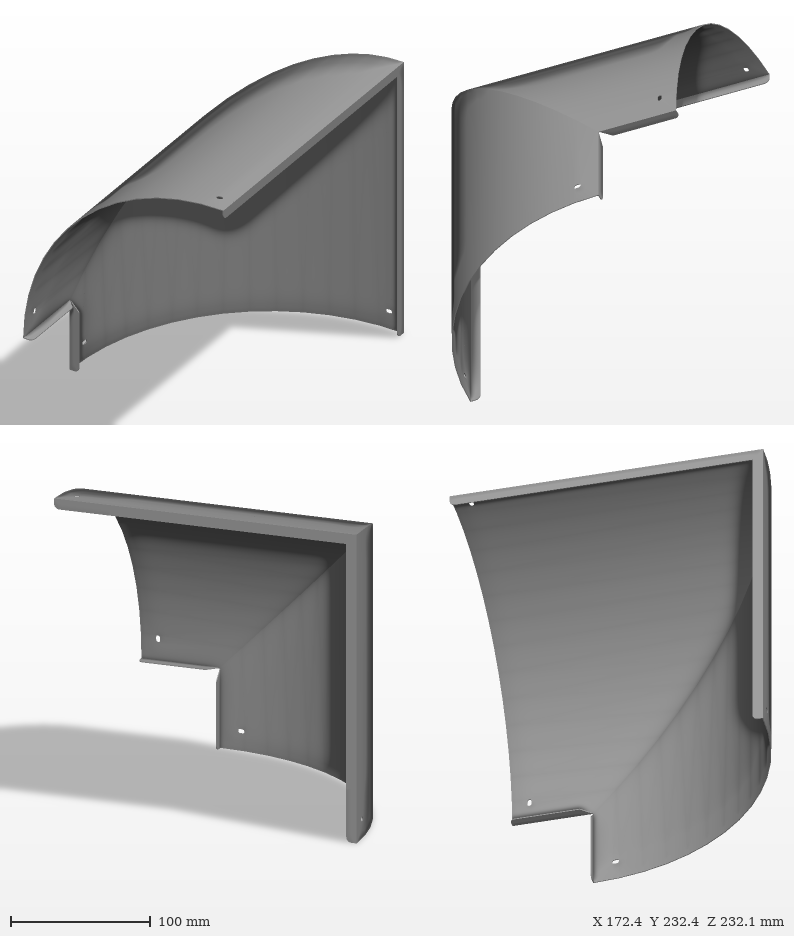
import cadquery as cq

RADIUS = 172.4
SHEET = 0.7
UPRIGHT_START_Y = 60.0
LEVEL_START_Z = 59.7
FLANGE = 8.0
FLANGE_CORNER = 4.0
SLOT_LENGTH = 5.0
SLOT_WIDTH = 3.3
UPRIGHT_SLOT_FROM_END = 14.6
LEVEL_SLOT_FROM_END = 13.0
SLOT_FROM_SIDE = 17.0
SLOT_FROM_TOP = 12.0

UPRIGHT_LENGTH = LEVEL_START_Z + RADIUS
LEVEL_LENGTH = UPRIGHT_START_Y + RADIUS


def make_shell(length):
    """Quarter-round sheet; arc from (0, 0) to (RADIUS, RADIUS), open end at Z = 0."""
    inner = RADIUS - SHEET
    diagonal = 0.5 ** 0.5
    return (
        cq.Workplane("XY")
        .moveTo(0, 0)
        .threePointArc((RADIUS * (1 - diagonal), RADIUS * diagonal), (RADIUS, RADIUS))
        .lineTo(RADIUS, inner)
        .threePointArc((RADIUS - inner * diagonal, inner * diagonal), (SHEET, 0))
        .close()
        .extrude(length)
    )


def make_leading_flange(length):
    """Edge folded toward +X along the start of the arc, sloped 45 degrees at the mitre."""
    top = length - RADIUS
    flange = (
        cq.Workplane("XZ")
        .polyline([(0, 0), (FLANGE, 0), (FLANGE, top - FLANGE), (0, top)])
        .close()
        .extrude(-SHEET)
    )
    return round_corner(flange, ">X")


def round_corner(flange, free_side):
    """Round the flange corner where its free side meets the open end."""
    return flange.faces("<Z").edges(free_side).fillet(FLANGE_CORNER)


def make_trailing_flange(length):
    """Edge folded toward -Y along the end of the arc."""
    flange = (
        cq.Workplane("XY")
        .box(SHEET, FLANGE, length, centered=False)
        .translate((RADIUS - SHEET, RADIUS - FLANGE, 0))
    )
    return round_corner(flange, "<Y")


def make_slots(from_end):
    """Cutters for the slots beside the leading and trailing edges, long way round the arc."""
    depth = 4 * FLANGE
    leading = (
        cq.Workplane("YZ", origin=(-FLANGE, 0, 0))
        .center(SLOT_FROM_SIDE, from_end)
        .slot2D(SLOT_LENGTH, SLOT_WIDTH)
        .extrude(depth)
    )
    trailing = (
        cq.Workplane("XZ", origin=(0, RADIUS + FLANGE, 0))
        .center(RADIUS - SLOT_FROM_TOP, from_end)
        .slot2D(SLOT_LENGTH, SLOT_WIDTH)
        .extrude(depth)
    )
    return leading.union(trailing)


def make_mitre_keep(length):
    """Wedge that keeps the part of a leg on its own side of the 45 degree mitre plane."""
    start = length - RADIUS
    return (
        cq.Workplane("YZ")
        .polyline([(0, 0), (RADIUS, 0), (RADIUS, length), (0, start)])
        .close()
        .extrude(RADIUS)
    )


def make_leg(length, slot_from_end):
    """One leg standing on its open end, with its arc starting at the origin."""
    leg = make_shell(length).union(make_leading_flange(length)).union(make_trailing_flange(length))
    return leg.cut(make_slots(slot_from_end)).intersect(make_mitre_keep(length))


upright_leg = make_leg(UPRIGHT_LENGTH, UPRIGHT_SLOT_FROM_END).translate((0, UPRIGHT_START_Y, 0))

level_leg = (
    make_leg(LEVEL_LENGTH, LEVEL_SLOT_FROM_END)
    .mirror("XY")
    .rotate((0, 0, 0), (1, 0, 0), 90)
    .translate((0, 0, LEVEL_START_Z))
)

result = cq.Compound.makeCompound([upright_leg.val(), level_leg.val()])